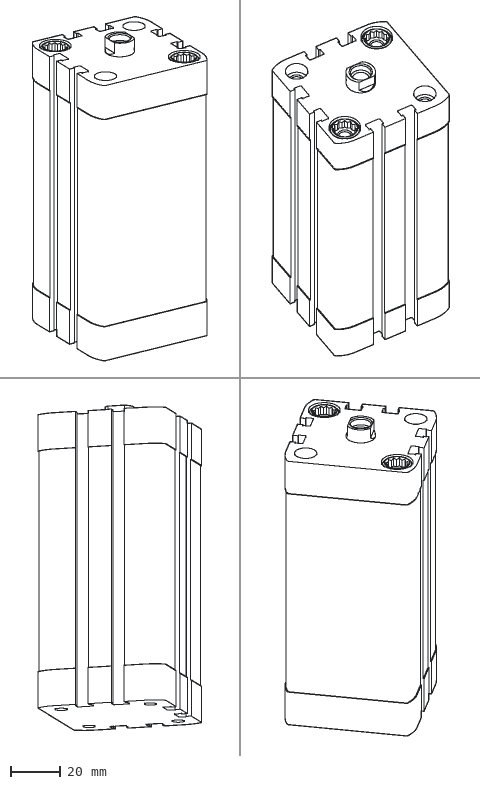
import cadquery as cq
import math

WIDTH = 54.5
HALF = WIDTH / 2
TOTAL_HEIGHT = 127.3
ROD_PROJECTION = 6.0
HOUSING_HEIGHT = TOTAL_HEIGHT - ROD_PROJECTION

CAP_HEIGHT = 15.0
BARREL_INSET = 0.4
BARREL_HEIGHT = HOUSING_HEIGHT - 2 * CAP_HEIGHT

CORNER_ARC_START = 19.1
CORNER_ARC_RADIUS = 14.5
CORNER_BLEND_RADIUS = 1.0

SLOT_OFFSET = 7.6
SLOT_MOUTH_WIDTH = 5.5
SLOT_INNER_WIDTH = 6.9
SLOT_DEPTH = 5.5
SLOT_LIP = 2.3
SLOT_FLOOR_RADIUS = 0.5

HOLE_OFFSET = 19.0
BOLT_HOLE_DIAMETER = 5.0
BOLT_HOLE_MOUTH_DIAMETER = 6.0
COUNTERBORE_DIAMETER = 9.0
COUNTERBORE_DEPTH = 5.0

SOCKET_POINTS = 12
SOCKET_INNER_DIAMETER = 8.4
SOCKET_GROOVE_DEPTH = 0.5
SOCKET_LEAD_IN = 0.9
SOCKET_DEPTH = 4.3

COLLAR_DIAMETER = 11.8
COLLAR_CHAMFER = 0.6
COLLAR_SINK = 0.3
RING_GAP_DIAMETER = 12.9
RING_GAP_DEPTH = 1.7

ROD_DIAMETER = 12.0
ROD_ACROSS_FLATS = 9.5
FLAT_RUNOUT_START = 0.3
ROD_BORE_MOUTH_DIAMETER = 9.4
ROD_BORE_DIAMETER = 8.4
ROD_BORE_DEPTH = 3.0
THREAD_HOLE_DIAMETER = 6.7
THREAD_HOLE_DEPTH = 12.0
DRILL_POINT_ANGLE = 118.0
ROD_SEAT = HOUSING_HEIGHT - CAP_HEIGHT


def cone(bottom_diameter, top_diameter, height, top_z):
    """Upright cone frustum on the Z axis, ending at top_z."""
    return cq.Workplane(
        cq.Solid.makeCone(
            bottom_diameter / 2,
            top_diameter / 2,
            height,
            pnt=cq.Vector(0, 0, top_z - height),
        )
    )


def drill_point_height(diameter_change):
    """Height over which a drill-point cone changes diameter by this much."""
    return diameter_change / 2 / math.tan(math.radians(DRILL_POINT_ANGLE / 2))


def cylinder(diameter, bottom_z, top_z):
    return cq.Workplane().workplane(offset=bottom_z).circle(diameter / 2).extrude(top_z - bottom_z)


def profile_block(inset, bottom_z, height):
    """Prism with the housing outline, moved inwards by inset."""
    side = HALF - inset
    arc_radius = CORNER_ARC_RADIUS - inset
    centre_y = side - arc_radius
    run = side - CORNER_ARC_START
    end_y = centre_y + math.sqrt(arc_radius**2 - run**2)
    half_angle = math.asin(run / arc_radius) / 2
    mid_x = CORNER_ARC_START + arc_radius * math.sin(half_angle)
    mid_y = centre_y + arc_radius * math.cos(half_angle)
    return (
        cq.Workplane()
        .workplane(offset=bottom_z)
        .moveTo(-CORNER_ARC_START, side)
        .lineTo(CORNER_ARC_START, side)
        .threePointArc((mid_x, mid_y), (side, end_y))
        .lineTo(side, -end_y)
        .threePointArc((mid_x, -mid_y), (CORNER_ARC_START, -side))
        .lineTo(-CORNER_ARC_START, -side)
        .threePointArc((-mid_x, -mid_y), (-side, -end_y))
        .lineTo(-side, end_y)
        .threePointArc((-mid_x, mid_y), (-CORNER_ARC_START, side))
        .close()
        .extrude(height)
        .edges("|Z and (>X or <X)")
        .fillet(CORNER_BLEND_RADIUS - inset)
    )


def slot_pair():
    """Cutter for the two T-slots of the +Y side."""
    centres = [(-SLOT_OFFSET, 0), (SLOT_OFFSET, 0)]
    inner_depth = SLOT_DEPTH - SLOT_LIP
    mouths = (
        cq.Workplane()
        .center(0, HALF - SLOT_DEPTH / 2)
        .pushPoints(centres)
        .rect(SLOT_MOUTH_WIDTH, SLOT_DEPTH)
        .extrude(HOUSING_HEIGHT)
    )
    undercuts = (
        cq.Workplane()
        .center(0, HALF - SLOT_DEPTH + inner_depth / 2)
        .pushPoints(centres)
        .rect(SLOT_INNER_WIDTH, inner_depth)
        .extrude(HOUSING_HEIGHT)
        .edges("|Z and <Y")
        .fillet(SLOT_FLOOR_RADIUS)
    )
    return mouths.union(undercuts)


def bolt_hole(mouth_depth):
    """Through hole with a 45 degree countersink at the given depth."""
    countersink = (BOLT_HOLE_MOUTH_DIAMETER - BOLT_HOLE_DIAMETER) / 2
    mouth_z = HOUSING_HEIGHT - mouth_depth
    return cylinder(BOLT_HOLE_DIAMETER, 0, HOUSING_HEIGHT).union(
        cone(BOLT_HOLE_DIAMETER, BOLT_HOLE_MOUTH_DIAMETER, countersink, mouth_z)
    )


def counterbored_hole():
    floor_z = HOUSING_HEIGHT - COUNTERBORE_DEPTH
    return bolt_hole(COUNTERBORE_DEPTH).union(cylinder(COUNTERBORE_DIAMETER, floor_z, HOUSING_HEIGHT))


def socket_hole():
    """Bolt hole under a twelve-point socket in a sunken collar."""
    inner_radius = SOCKET_INNER_DIAMETER / 2
    outline = []
    for i in range(2 * SOCKET_POINTS):
        radius = inner_radius + (SOCKET_GROOVE_DEPTH if i % 2 == 0 else 0)
        angle = i * math.pi / SOCKET_POINTS
        outline.append((radius * math.cos(angle), radius * math.sin(angle)))
    star = (
        cq.Workplane()
        .workplane(offset=HOUSING_HEIGHT - SOCKET_DEPTH)
        .polyline(outline)
        .close()
        .extrude(SOCKET_DEPTH)
    )
    collar_top = HOUSING_HEIGHT - COLLAR_SINK
    lead_in_diameter = SOCKET_INNER_DIAMETER + 2 * SOCKET_LEAD_IN
    lead_in = cone(SOCKET_INNER_DIAMETER, lead_in_diameter, SOCKET_LEAD_IN, collar_top)

    gap_bottom = HOUSING_HEIGHT - RING_GAP_DEPTH
    collar = cylinder(COLLAR_DIAMETER, gap_bottom, collar_top).faces(">Z").chamfer(COLLAR_CHAMFER)
    surround = cylinder(RING_GAP_DIAMETER, gap_bottom, HOUSING_HEIGHT).cut(collar)
    return surround.union(bolt_hole(SOCKET_DEPTH)).union(star).union(lead_in)


def make_housing():
    top_cap_z = HOUSING_HEIGHT - CAP_HEIGHT
    body = profile_block(0, 0, CAP_HEIGHT)
    body = body.union(profile_block(BARREL_INSET, CAP_HEIGHT, BARREL_HEIGHT))
    body = body.union(profile_block(0, top_cap_z, CAP_HEIGHT))

    for angle in (0, 90, 180):
        body = body.cut(slot_pair().rotate((0, 0, 0), (0, 0, 1), angle))

    for side in (-1, 1):
        body = body.cut(counterbored_hole().translate((side * HOLE_OFFSET, -side * HOLE_OFFSET, 0)))
        body = body.cut(socket_hole().translate((side * HOLE_OFFSET, side * HOLE_OFFSET, 0)))

    return body.cut(cylinder(ROD_DIAMETER, ROD_SEAT, HOUSING_HEIGHT))


def flat_cutter():
    """Material beyond the +Y wrench flat, with a 45 degree run-out at its foot."""
    flat_y = ROD_ACROSS_FLATS / 2
    outer_y = ROD_DIAMETER / 2
    runout_z = HOUSING_HEIGHT + FLAT_RUNOUT_START
    return (
        cq.Workplane("YZ")
        .moveTo(flat_y, TOTAL_HEIGHT)
        .lineTo(flat_y, runout_z + outer_y - flat_y)
        .lineTo(outer_y, runout_z)
        .lineTo(outer_y, TOTAL_HEIGHT)
        .close()
        .extrude(ROD_DIAMETER / 2, both=True)
    )


def make_rod():
    rod = cylinder(ROD_DIAMETER, ROD_SEAT, TOTAL_HEIGHT)
    rod = rod.cut(flat_cutter()).cut(flat_cutter().mirror("XZ"))

    chamfer = (ROD_BORE_MOUTH_DIAMETER - ROD_BORE_DIAMETER) / 2
    rod = rod.cut(cone(ROD_BORE_DIAMETER, ROD_BORE_MOUTH_DIAMETER, chamfer, TOTAL_HEIGHT))
    bore_bottom = TOTAL_HEIGHT - ROD_BORE_DEPTH
    rod = rod.cut(cylinder(ROD_BORE_DIAMETER, bore_bottom, TOTAL_HEIGHT))
    shoulder = drill_point_height(ROD_BORE_DIAMETER - THREAD_HOLE_DIAMETER)
    rod = rod.cut(cone(THREAD_HOLE_DIAMETER, ROD_BORE_DIAMETER, shoulder, bore_bottom))

    hole_bottom = TOTAL_HEIGHT - THREAD_HOLE_DEPTH
    point_height = drill_point_height(THREAD_HOLE_DIAMETER)
    rod = rod.cut(cylinder(THREAD_HOLE_DIAMETER, hole_bottom, TOTAL_HEIGHT))
    return rod.cut(cone(0, THREAD_HOLE_DIAMETER, point_height, hole_bottom))


housing = make_housing()
rod = make_rod()

result = cq.Compound.makeCompound([housing.val(), rod.val()])